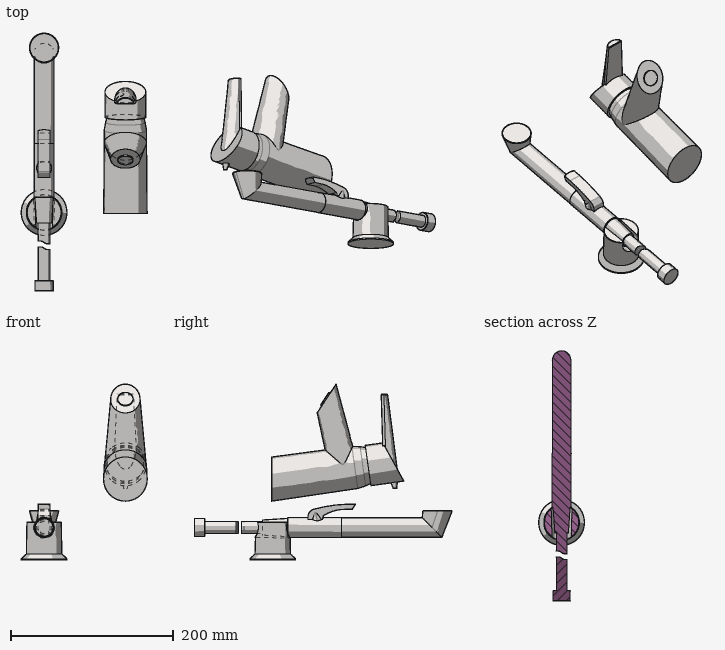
import cadquery as cq
import math

SPRAY_Z = 40.0
FAR = 200.0

FAUCET_X = 100.0
FAUCET_TILT = 8.0
JOINT_Y, JOINT_Z = 85.1, 111.7
BACK_Y = -1.3
BODY_BACK_RADIUS = 27.05
BODY_BACK_LENGTH = 95.0
BODY_FRONT_RADIUS = 26.3
BODY_FRONT = 16.0
SHOULDER = 26.0
SHOULDER_RADIUS = 24.5
NECK_RADIUS = 22.6
CAP_START = 32.5
CAP_RADIUS = 25.2
CAP_LENGTH = 60.0
CAP_TOP = (135.9, 143.3)
CAP_BOTTOM = (161.3, 97.2)

SPOUT_TILT = 13.6
SPOUT_BASE_Y = 87.7
SPOUT_LENGTH = 130.0
SPOUT_BASE_HALF_WIDTH, SPOUT_BASE_HALF_DEPTH = 26.3, 18.0
SPOUT_END_RADIUS = 14.5
SPOUT_CUT_TOP = (77.4, 215.7)
SPOUT_CUT_BOTTOM = (54.3, 180.7)
AERATOR_RADIUS = 9.5
AERATOR_HEIGHT = 1.8
AERATOR_POSITION = 0.52

LEVER_ROOT_Z, LEVER_TIP_Z = 105.0, 204.0
LEVER_ROOT_HALF_WIDTH, LEVER_TIP_HALF_WIDTH = 15.0, 10.0
LEVER_ROOT_BACK_Y, LEVER_TIP_BACK_Y = 136.2, 133.3
LEVER_ROOT_FRONT_Y, LEVER_TIP_FRONT_Y = 154.2, 141.4
LEVER_EDGE = 3.5
LEVER_TIP_CHAMFER = 0.8

PLUG_Y, PLUG_TIP_Y = 149.0, 150.4
PLUG_TOP_Z, PLUG_BOTTOM_Z = 97.0, 88.2
PLUG_RADIUS, PLUG_TIP_RADIUS = 4.6, 2.2

TUBE_RADIUS = 24.4 / 2
SLEEVE_RADIUS = 24.8 / 2
SLEEVE_START_Y, SLEEVE_END_Y = 84.6, 18.2
SLEEVE_CHAMFER = 0.8
COLLAR_END_Y = -12.9
COLLAR_RADIUS, COLLAR_END_RADIUS = 22.6 / 2, 18.63 / 2
HOSE_RADIUS = 15.0 / 2
HEAD_Y = 202.7
HEAD_RADIUS = 18.1
HEAD_TOP_Z = 60.0
FACE_RADIUS, FACE_HEIGHT = 17.4, 0.8
MITRE_Y = 196.0

TRIGGER_WIDTH = 15.0
TRIGGER_TIP_BULGE = 1.2
TRIGGER_TIP_Y, TRIGGER_TOP_Z = 101.9, 68.8
TRIGGER_CROWN = (89.6, 68.7)
TRIGGER_CROWN_MID = (69.5, 66.7)
TRIGGER_SHOULDER = (50.5, 62.6)
TRIGGER_HEEL_MID = (45.6, 59.4)
TRIGGER_HEEL = (43.4, 50.0)
TRIGGER_ROOT = (61.0, 50.0)
TRIGGER_NOTCH = (62.5, 54.5)
TRIGGER_UNDER_MID = (72.5, 59.4)
TRIGGER_UNDER = (84.0, 62.0)
TRIGGER_UNDER_TIP = (98.0, 62.4)

FOOT_Z, FOOT_TOP_Z = 47.0, 59.5
FOOT_Y, FOOT_TOP_Y = 55.0, 52.5
FOOT_HALF_WIDTH, FOOT_HALF_LENGTH = 19.0 / 2, 11.5
FOOT_TOP_HALF_WIDTH, FOOT_TOP_HALF_LENGTH = 7.3, 5.5

HOSE_BREAK_Y = -37.0
HOSE_BREAK_GAP = 6.9
HOSE_BREAK_DEPTH = 1.6
NUT_RADIUS = 22.6 / 2
NUT_START_Y, NUT_END_Y = -83.6, -96.55
NUT_CHAMFER = 0.6

FLANGE_RADIUS = 28.25
FLANGE_EDGE = 1.5
FLANGE_TOP_Z = 7.4
HOLDER_BASE_RADIUS, HOLDER_TOP_RADIUS = 22.0, 21.3
HOLDER_TOP_Z = 46.5
HOLDER_CHAMFER = 0.5
BORE_REACH = 25.0
BORE_FRONT_RADIUS, BORE_BACK_RADIUS = 13.3, 11.9


def side_plate(points, centre_x, width):
    """Straight-sided (Y, Z) outline extruded along X, centred on centre_x."""
    return cq.Workplane("YZ", origin=(centre_x - width / 2, 0, 0)).polyline(points).close().extrude(width)


def turned_along_y(profile):
    """Revolve a (Y, radius) outline about the spray axis."""
    plane = cq.Plane(origin=(0, 0, SPRAY_Z), xDir=(0, 1, 0), normal=(1, 0, 0))
    return cq.Workplane(plane).polyline(profile).close().revolve(360, (0, 0, 0), (1, 0, 0))


def point_on_line(start, end, fraction):
    return tuple(a + fraction * (b - a) for a, b in zip(start, end))


def faucet_body():
    """Tapered body, neck and cap turned about the tilted axis, then trimmed at both ends."""
    tilt = math.radians(FAUCET_TILT)
    plane = cq.Plane(
        origin=(FAUCET_X, JOINT_Y, JOINT_Z),
        xDir=(0, math.cos(tilt), math.sin(tilt)),
        normal=(1, 0, 0),
    )
    profile = [
        (-BODY_BACK_LENGTH, 0),
        (-BODY_BACK_LENGTH, BODY_BACK_RADIUS),
        (BODY_FRONT, BODY_FRONT_RADIUS),
        (SHOULDER, SHOULDER_RADIUS),
        (CAP_START, NECK_RADIUS),
        (CAP_START, CAP_RADIUS),
        (CAP_START + CAP_LENGTH, CAP_RADIUS),
        (CAP_START + CAP_LENGTH, 0),
    ]
    body = cq.Workplane(plane).polyline(profile).close().revolve(360, (0, 0, 0), (1, 0, 0))
    trim = [
        (BACK_Y, 0),
        point_on_line(CAP_TOP, CAP_BOTTOM, 2),
        point_on_line(CAP_TOP, CAP_BOTTOM, -1),
        (BACK_Y, FAR),
    ]
    return body.intersect(side_plate(trim, FAUCET_X, FAR))


def spout():
    """Spout tapering from a wide oval to a round end, cut by the outlet face."""
    tilt = math.radians(SPOUT_TILT)
    plane = cq.Plane(
        origin=(FAUCET_X, SPOUT_BASE_Y, JOINT_Z),
        xDir=(1, 0, 0),
        normal=(0, -math.sin(tilt), math.cos(tilt)),
    )
    cone = (
        cq.Workplane(plane)
        .ellipse(SPOUT_BASE_HALF_WIDTH, SPOUT_BASE_HALF_DEPTH)
        .workplane(offset=SPOUT_LENGTH)
        .circle(SPOUT_END_RADIUS)
        .loft()
    )
    waste = [
        point_on_line(SPOUT_CUT_TOP, SPOUT_CUT_BOTTOM, -2),
        point_on_line(SPOUT_CUT_TOP, SPOUT_CUT_BOTTOM, 2),
        (-FAR, 2 * FAR),
    ]
    return cone.cut(side_plate(waste, FAUCET_X, FAR))


def aerator():
    """Round outlet standing proud of the slanted spout face."""
    centre_y, centre_z = point_on_line(SPOUT_CUT_TOP, SPOUT_CUT_BOTTOM, AERATOR_POSITION)
    run = SPOUT_CUT_TOP[0] - SPOUT_CUT_BOTTOM[0]
    rise = SPOUT_CUT_TOP[1] - SPOUT_CUT_BOTTOM[1]
    plane = cq.Plane(origin=(FAUCET_X, centre_y, centre_z), xDir=(1, 0, 0), normal=(0, -rise, run))
    disc = cq.Workplane(plane).workplane(offset=-AERATOR_HEIGHT)
    return disc.circle(AERATOR_RADIUS).extrude(2 * AERATOR_HEIGHT)


def lever_section(workplane, half_width, back_y, front_y):
    """Blade section: flat back, short side edges and an arched front."""
    edge_y = back_y + LEVER_EDGE
    return (
        workplane.moveTo(-half_width, back_y)
        .lineTo(half_width, back_y)
        .lineTo(half_width, edge_y)
        .threePointArc((0, front_y), (-half_width, edge_y))
        .close()
    )


def lever():
    root = cq.Workplane("XY", origin=(FAUCET_X, 0, LEVER_ROOT_Z))
    root = lever_section(root, LEVER_ROOT_HALF_WIDTH, LEVER_ROOT_BACK_Y, LEVER_ROOT_FRONT_Y)
    tip = root.workplane(offset=LEVER_TIP_Z - LEVER_ROOT_Z)
    blade = lever_section(tip, LEVER_TIP_HALF_WIDTH, LEVER_TIP_BACK_Y, LEVER_TIP_FRONT_Y).loft()
    return blade.faces(">Z").chamfer(LEVER_TIP_CHAMFER)


def plug():
    """Small tapered plug under the cap."""
    return (
        cq.Workplane("XY", origin=(FAUCET_X, PLUG_Y, PLUG_TOP_Z))
        .circle(PLUG_RADIUS)
        .workplane(offset=PLUG_BOTTOM_Z - PLUG_TOP_Z)
        .center(0, PLUG_TIP_Y - PLUG_Y)
        .circle(PLUG_TIP_RADIUS)
        .loft()
    )


def make_faucet():
    return faucet_body().union(spout()).union(aerator()).union(lever()).union(plug())


def spray_tube():
    """Tube, sleeve, tapered collar and hose stub, with the mitred tube end."""
    tube_end_y = MITRE_Y + TUBE_RADIUS
    profile = [
        (tube_end_y, 0),
        (tube_end_y, TUBE_RADIUS),
        (SLEEVE_START_Y, TUBE_RADIUS),
        (SLEEVE_START_Y, SLEEVE_RADIUS),
        (SLEEVE_END_Y + SLEEVE_CHAMFER, SLEEVE_RADIUS),
        (SLEEVE_END_Y, SLEEVE_RADIUS - SLEEVE_CHAMFER),
        (SLEEVE_END_Y, COLLAR_RADIUS),
        (COLLAR_END_Y, COLLAR_END_RADIUS),
        (COLLAR_END_Y, HOSE_RADIUS),
        (HOSE_BREAK_Y - HOSE_RADIUS, HOSE_RADIUS),
        (HOSE_BREAK_Y - HOSE_RADIUS, 0),
    ]
    waste = [
        (MITRE_Y - FAR, SPRAY_Z + FAR),
        (MITRE_Y + FAR, SPRAY_Z + FAR),
        (MITRE_Y + FAR, SPRAY_Z - FAR),
    ]
    return turned_along_y(profile).cut(side_plate(waste, 0, FAR))


def spray_head():
    """Flared head from the mitre oval up to the round spray face."""
    mitre = cq.Plane(origin=(0, MITRE_Y, SPRAY_Z), xDir=(1, 0, 0), normal=(0, 1, 1))
    oval = cq.Workplane(mitre).ellipse(TUBE_RADIUS, TUBE_RADIUS * math.sqrt(2)).wires().val()
    rim = cq.Workplane("XY", origin=(0, HEAD_Y, HEAD_TOP_Z)).circle(HEAD_RADIUS).wires().val()
    flare = cq.Workplane(cq.Solid.makeLoft([oval, rim], True))
    face = cq.Workplane("XY", origin=(0, HEAD_Y, HEAD_TOP_Z)).circle(FACE_RADIUS).extrude(FACE_HEIGHT)
    return flare.union(face)


def trigger():
    """Curved thumb lever and the oval foot that carries it."""
    half_width = TRIGGER_WIDTH / 2
    tip_corner_y = TRIGGER_TIP_Y - TRIGGER_TIP_BULGE
    profile = (
        cq.Workplane("YZ", origin=(-half_width, 0, 0))
        .moveTo(*TRIGGER_UNDER_TIP)
        .lineTo(TRIGGER_TIP_Y, TRIGGER_TOP_Z)
        .lineTo(*TRIGGER_CROWN)
        .threePointArc(TRIGGER_CROWN_MID, TRIGGER_SHOULDER)
        .threePointArc(TRIGGER_HEEL_MID, TRIGGER_HEEL)
        .lineTo(*TRIGGER_ROOT)
        .lineTo(*TRIGGER_NOTCH)
        .threePointArc(TRIGGER_UNDER_MID, TRIGGER_UNDER)
        .close()
        .extrude(TRIGGER_WIDTH)
    )
    outline = (
        cq.Workplane("XY")
        .moveTo(-half_width, 0)
        .lineTo(half_width, 0)
        .lineTo(half_width, tip_corner_y)
        .threePointArc((0, TRIGGER_TIP_Y), (-half_width, tip_corner_y))
        .close()
        .extrude(FAR)
    )
    blade = profile.intersect(outline)
    foot = (
        cq.Workplane("XY", origin=(0, FOOT_Y, FOOT_Z))
        .ellipse(FOOT_HALF_WIDTH, FOOT_HALF_LENGTH)
        .workplane(offset=FOOT_TOP_Z - FOOT_Z)
        .center(0, FOOT_TOP_Y - FOOT_Y)
        .ellipse(FOOT_TOP_HALF_WIDTH, FOOT_TOP_HALF_LENGTH)
        .loft()
    )
    return blade.union(foot)


def hose_break(middle_y):
    """Everything on the -Y side of an S-shaped break across the hose."""
    reach = 1.5 * HOSE_RADIUS
    return (
        cq.Workplane("XY")
        .moveTo(-reach, middle_y + HOSE_BREAK_DEPTH)
        .lineTo(-HOSE_RADIUS / 2, middle_y + HOSE_BREAK_DEPTH)
        .spline(
            [(HOSE_RADIUS / 2, middle_y - HOSE_BREAK_DEPTH)],
            tangents=[(1, 0), (1, 0)],
            includeCurrent=True,
        )
        .lineTo(reach, middle_y - HOSE_BREAK_DEPTH)
        .lineTo(reach, middle_y - FAR)
        .lineTo(-reach, middle_y - FAR)
        .close()
        .extrude(FAR)
    )


def make_spray():
    return spray_tube().cut(hose_break(HOSE_BREAK_Y)).union(spray_head()).union(trigger())


def make_hose_end():
    """Far hose piece with its coupling nut."""
    break_y = HOSE_BREAK_Y - HOSE_BREAK_GAP
    profile = [
        (break_y + HOSE_RADIUS, 0),
        (break_y + HOSE_RADIUS, HOSE_RADIUS),
        (NUT_START_Y, HOSE_RADIUS),
        (NUT_START_Y, NUT_RADIUS - NUT_CHAMFER),
        (NUT_START_Y - NUT_CHAMFER, NUT_RADIUS),
        (NUT_END_Y, NUT_RADIUS),
        (NUT_END_Y, 0),
    ]
    hose = turned_along_y(profile)
    short_piece = hose.intersect(hose_break(break_y))
    nut_side = hose.intersect(cq.Workplane("XY").box(FAR, FAR, FAR).translate((0, NUT_START_Y - FAR / 2, 0)))
    return short_piece.union(nut_side)


def make_holder():
    """Flanged post with a tapered, open-topped cradle for the spray collar."""
    profile = [
        (0, 0),
        (FLANGE_RADIUS, 0),
        (FLANGE_RADIUS, FLANGE_EDGE),
        (HOLDER_BASE_RADIUS, FLANGE_TOP_Z),
        (HOLDER_TOP_RADIUS, HOLDER_TOP_Z - HOLDER_CHAMFER),
        (HOLDER_TOP_RADIUS - HOLDER_CHAMFER, HOLDER_TOP_Z),
        (0, HOLDER_TOP_Z),
    ]
    post = cq.Workplane("XZ").polyline(profile).close().revolve(360, (0, 0, 0), (0, 1, 0))
    bore = turned_along_y([
        (BORE_REACH, 0),
        (BORE_REACH, BORE_FRONT_RADIUS),
        (-BORE_REACH, BORE_BACK_RADIUS),
        (-BORE_REACH, 0),
    ])
    return post.cut(bore)


faucet = make_faucet()
spray = make_spray()
hose_end = make_hose_end()
holder = make_holder()

bodies = [faucet, spray, hose_end, holder]
result = cq.Compound.makeCompound([body.solids().val() for body in bodies])